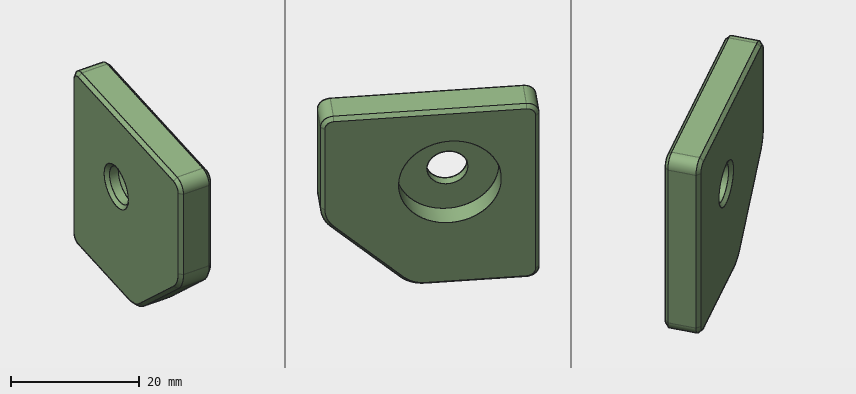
import cadquery as cq

side = 34.15
thickness = 5.8
corner_cut = 14.03
corner_radius = 2.0
cut_radius = 5.45
edge_chamfer = 0.6

hole_inset = 14.0
hole_diameter = 6.4
floor_thickness = 2.2
recess_diameter = 16.05
hole_x = hole_inset - side / 2
hole_z = side / 2 - hole_inset


def make_plate():
    """Plate with rounded corners and both face outlines chamfered."""
    half = side / 2
    outline = [
        (-half, -half),
        (half - corner_cut, -half),
        (half, -half + corner_cut),
        (half, half),
        (-half, half),
    ]
    plate = cq.Workplane("XZ").polyline(outline).close().extrude(thickness / 2, both=True)

    square_corners = "(|Y and <X) or (|Y and >Z)"
    plate = plate.edges(square_corners).fillet(corner_radius)
    cut_corners = cq.selectors.BoxSelector(
        (half - corner_cut - edge_chamfer, -thickness, -half - edge_chamfer),
        (half + edge_chamfer, thickness, -half + corner_cut + edge_chamfer),
    )
    plate = plate.edges("|Y").edges(cut_corners).fillet(cut_radius)
    return plate.faces("<Y or >Y").edges().chamfer(edge_chamfer)


def make_hole_cutter():
    """Cylinder through the plate, flared at the front and widened to a round recess at the back."""
    bore_radius = hole_diameter / 2
    mouth_radius = bore_radius + edge_chamfer
    recess_radius = recess_diameter / 2
    half = thickness / 2
    floor = -half + floor_thickness
    profile = [
        (0, -half),
        (mouth_radius, -half),
        (bore_radius, -half + edge_chamfer),
        (bore_radius, floor),
        (recess_radius, floor),
        (recess_radius, half),
        (0, half),
    ]
    cutter = cq.Workplane("XY").polyline(profile).close().revolve(360, (0, 0), (0, 1))
    return cutter.translate((hole_x, 0, hole_z))


result = make_plate().cut(make_hole_cutter())